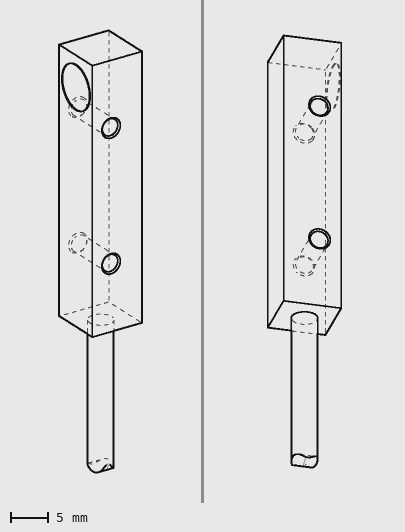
import cadquery as cq

total_length = 61.9
body_width = 8.0
body_length = 40.0
cable_diameter = 3.5
cable_radius = cable_diameter / 2
cable_length = total_length - body_length
half_width = body_width / 2

face_diameter = 6.6
face_drop = 4.75
face_depth = 0.1

hole_diameter = 2.5
hole_mouth_diameter = 3.0
hole_chamfer = (hole_mouth_diameter - hole_diameter) / 2
hole_y = -1.0
first_hole_drop = 10.0
hole_spacing = 20.0

crest_x = -0.75
crest_height = 0.7
trough_x = 0.85
trough_height = 0.1
right_end_height = 1.35


def make_body():
    """Square bar standing on the plane Z = 0."""
    return cq.Workplane("XY").box(body_width, body_width, body_length, centered=(True, True, False))


def make_face_recess():
    """Shallow disc cut inward from the -Y side."""
    return (
        cq.Workplane("XZ", origin=(0, -half_width, body_length - face_drop))
        .circle(face_diameter / 2)
        .extrude(-face_depth)
    )


def make_hole(z):
    """Through hole with a conical mouth on each X side, as a revolved cutter."""
    hole_radius = hole_diameter / 2
    mouth_radius = hole_mouth_diameter / 2
    chamfer_start = half_width - hole_chamfer
    return (
        cq.Workplane("XY", origin=(0, hole_y, z))
        .moveTo(-half_width, 0)
        .lineTo(-half_width, mouth_radius)
        .lineTo(-chamfer_start, hole_radius)
        .lineTo(chamfer_start, hole_radius)
        .lineTo(half_width, mouth_radius)
        .lineTo(half_width, 0)
        .close()
        .revolve(360, (0, 0, 0), (1, 0, 0))
    )


def make_cable():
    """Round cable below the body, trimmed by a wave that runs straight along Y."""
    cable = cq.Workplane("XY").circle(cable_radius).extrude(-cable_length)
    tip_z = -cable_length
    wave_points = [
        (crest_x, tip_z + crest_height),
        (trough_x, tip_z + trough_height),
        (cable_radius, tip_z + right_end_height),
    ]
    kept_region = (
        cq.Workplane("XZ")
        .moveTo(-cable_radius, 0)
        .lineTo(-cable_radius, tip_z)
        .spline(wave_points, includeCurrent=True)
        .lineTo(cable_radius, 0)
        .close()
        .extrude(cable_radius, both=True)
    )
    return cable.intersect(kept_region)


body = make_body().cut(make_face_recess())
for hole_index in range(2):
    body = body.cut(make_hole(body_length - first_hole_drop - hole_index * hole_spacing))

result = body.union(make_cable())